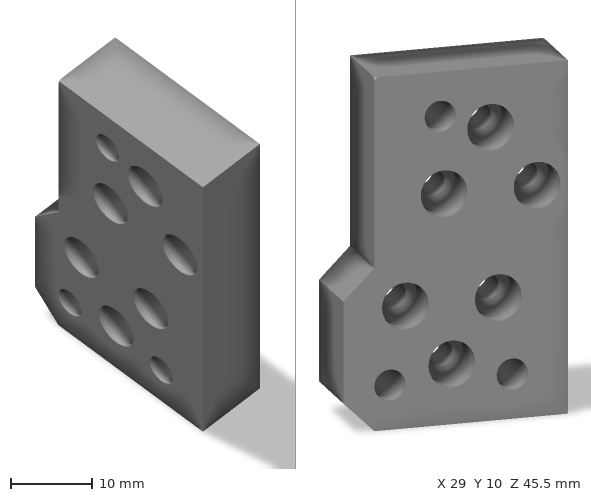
import cadquery as cq

WIDTH = 29.0
THICKNESS = 10.0
HEIGHT = 45.5

FOOT_REACH = 4.0
FOOT_CHAMFER_HEIGHT = 3.9
FOOT_SLOPE_START = 17.0
FOOT_SLOPE_END = FOOT_SLOPE_START + FOOT_REACH

CORNER_CUT = 0.4

PLAIN_DIAMETER = 4.0
PLAIN_CENTERS = [(6.0, 5.75), (21.8, 5.75), (12.5, 39.75)]

SCREW_DIAMETER = 3.3
BORE_DIAMETER = 6.0
BORE_DEPTH = THICKNESS / 2
TRIANGLE_HALF_BASE = 6.0
TRIANGLE_RISE = 8.0
LOWER_BASE_MIDDLE = (14.0, 15.75)
UPPER_BASE_MIDDLE = (19.0, 29.75)


def make_plate():
    outline = [
        (FOOT_REACH, 0),
        (WIDTH, 0),
        (WIDTH, HEIGHT),
        (FOOT_REACH, HEIGHT),
        (FOOT_REACH, FOOT_SLOPE_END),
        (0, FOOT_SLOPE_START),
        (0, FOOT_CHAMFER_HEIGHT),
    ]
    return cq.Workplane("XZ").polyline(outline).close().extrude(-THICKNESS)


def make_corner_cutter():
    """Tetrahedron with equal legs along the three edges of the corner."""
    corner = cq.Vector(FOOT_REACH, 0, HEIGHT)
    along_x = corner + cq.Vector(CORNER_CUT, 0, 0)
    along_y = corner + cq.Vector(0, CORNER_CUT, 0)
    along_z = corner - cq.Vector(0, 0, CORNER_CUT)
    triangles = [
        (corner, along_x, along_y),
        (corner, along_y, along_z),
        (corner, along_z, along_x),
        (along_x, along_y, along_z),
    ]
    faces = [cq.Face.makeFromWires(cq.Wire.makePolygon(t, close=True)) for t in triangles]
    return cq.Workplane(obj=cq.Solid.makeSolid(cq.Shell.makeShell(faces)))


def make_drills(centers, diameter, depth):
    """Cylinders running from the front face into the plate."""
    return cq.Workplane("XZ").pushPoints(centers).circle(diameter / 2).extrude(-depth)


def triangle_centers(base_middle, rise):
    """Two holes on a level base and a third hole above or below its middle."""
    x, z = base_middle
    return [
        (x - TRIANGLE_HALF_BASE, z),
        (x + TRIANGLE_HALF_BASE, z),
        (x, z + rise),
    ]


lower_triangle = triangle_centers(LOWER_BASE_MIDDLE, -TRIANGLE_RISE)
upper_triangle = triangle_centers(UPPER_BASE_MIDDLE, TRIANGLE_RISE)
screw_centers = lower_triangle + upper_triangle

result = (
    make_plate()
    .cut(make_corner_cutter())
    .cut(make_drills(PLAIN_CENTERS, PLAIN_DIAMETER, THICKNESS))
    .cut(make_drills(screw_centers, SCREW_DIAMETER, THICKNESS))
    .cut(make_drills(screw_centers, BORE_DIAMETER, BORE_DEPTH))
)